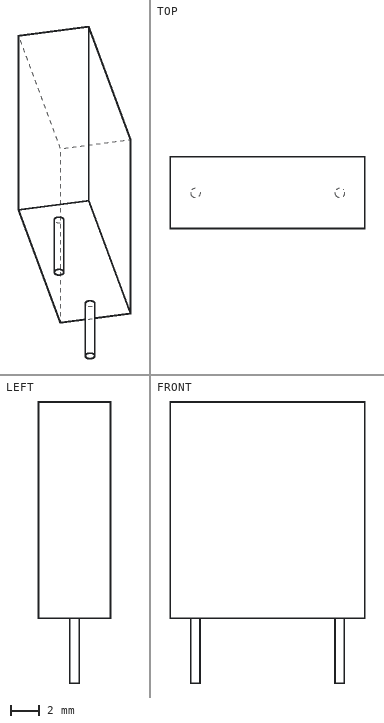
import cadquery as cq

overall_height = 19.53
body_width = 13.51
body_depth = 5.0
body_height = 15.02

lead_diameter = 0.66
lead_spacing = 10.02
lead_length = overall_height - body_height


def make_body():
    """Plain rectangular body standing on the plane Z = 0."""
    return cq.Workplane("XY").box(body_width, body_depth, body_height, centered=(True, True, False))


def make_lead(x):
    """Straight round lead hanging from the underside of the body."""
    return cq.Workplane("XY").center(x, 0).circle(lead_diameter / 2).extrude(-lead_length)


body = make_body()
leads = [make_lead(side * lead_spacing / 2) for side in (-1, 1)]

result = cq.Compound.makeCompound([body.val(), *[lead.val() for lead in leads]])